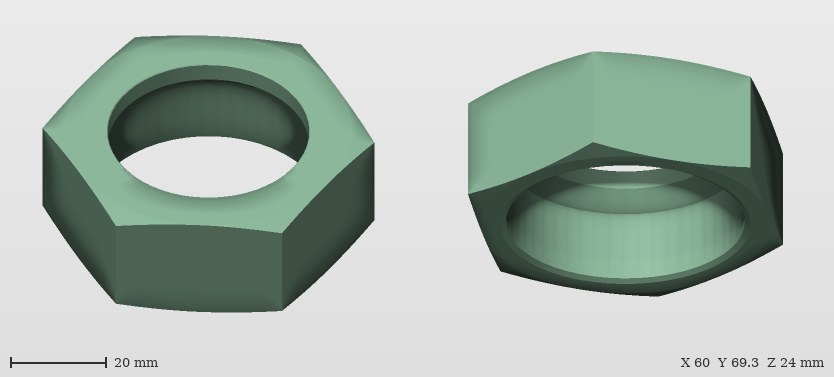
import cadquery as cq
import math

across_corners = 69.3
across_flats = across_corners * math.cos(math.radians(30))
height = 24.0
corner_chamfer_angle = 15.0

neck_radius = 42.0 / 2
bore_radius = 49.8 / 2
neck_length = 4.15
neck_chamfer = 0.2
bore_chamfer_width = 1.2
bore_chamfer_height = 0.7
shoulder_drop = bore_radius - neck_radius


def revolve_profile(points):
    """Revolve a closed (radius, height) outline about the Z axis."""
    return cq.Workplane("XZ").polyline(points).close().revolve(360, (0, 0), (0, 1))


def hexagon_body():
    """Hexagonal prism with conically chamfered corners at both ends."""
    corner_radius = across_corners / 2
    face_radius = across_flats / 2
    drop = (corner_radius - face_radius) * math.tan(math.radians(corner_chamfer_angle))
    prism = (
        cq.Workplane("XY")
        .polygon(6, across_corners)
        .extrude(height)
        .rotate((0, 0, 0), (0, 0, 1), 90)
    )
    envelope = revolve_profile([
        (0, 0),
        (face_radius, 0),
        (corner_radius, drop),
        (corner_radius, height - drop),
        (face_radius, height),
        (0, height),
    ])
    return prism.intersect(envelope)


def bore():
    """Through bore with a conical shoulder and a chamfer at each mouth."""
    neck_bottom = height - neck_length
    return revolve_profile([
        (0, 0),
        (bore_radius + bore_chamfer_width, 0),
        (bore_radius, bore_chamfer_height),
        (bore_radius, neck_bottom - shoulder_drop),
        (neck_radius, neck_bottom),
        (neck_radius, height - neck_chamfer),
        (neck_radius + neck_chamfer, height),
        (0, height),
    ])


result = hexagon_body().cut(bore())